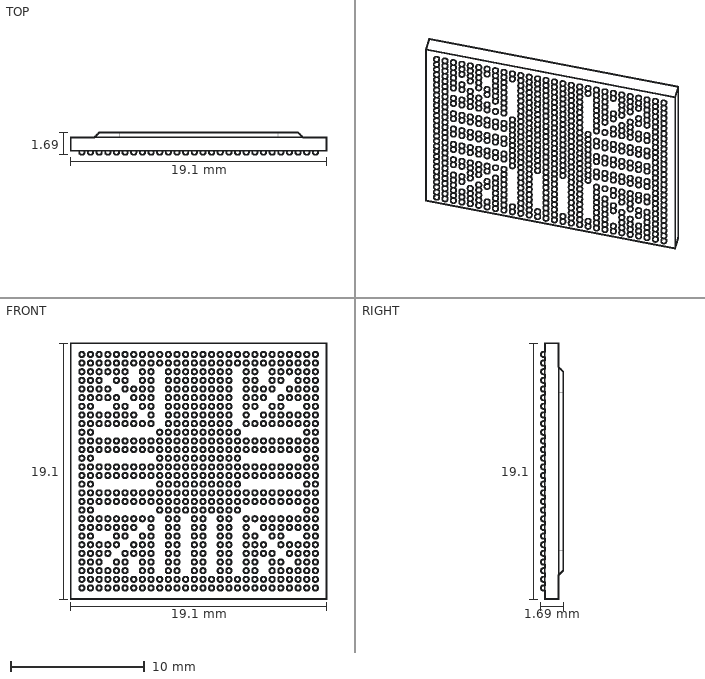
import cadquery as cq

SIDE = 19.15
TOTAL_DEPTH = 1.69
BALL_HEIGHT = 0.3
CAP_HEIGHT = 0.36
SUBSTRATE_THICKNESS = TOTAL_DEPTH - BALL_HEIGHT - CAP_HEIGHT

CAP_SIDE = 15.59
CAP_CORNER_RADIUS = 1.88
CAP_BEVEL_ANGLE = 45.0

BALL_GRID_SPAN = 17.46
BALL_DIAMETER = 0.42

LEFT_HALF_ROWS = [
    "##############",
    "##############",
    "######.##.####",
    "###.##.##.####",
    "####.####.####",
    "#####.###.####",
    "##..##.##.####",
    "#######.#.####",
    "#########.####",
    "##.......#####",
    "##############",
    "##############",
    "##.......#####",
    "##############",
    "##############",
    "##.......#####",
    "##############",
    "##############",
    "##.......#####",
    "#########.##.#",
    "#######.#.##.#",
    "##..##.##.##.#",
    "#####.###.##.#",
    "####.####.##.#",
    "###.##.##.##.#",
    "######.##.##.#",
    "##############",
    "##############",
]
BALL_PITCH = BALL_GRID_SPAN / (len(LEFT_HALF_ROWS) - 1)


def make_substrate():
    """Square board between its ball face and its cap face."""
    return cq.Workplane("XZ").rect(SIDE, SIDE).extrude(-SUBSTRATE_THICKNESS)


def make_cap():
    """Rounded square cap on the +Y face, its whole rim sloping inwards."""
    outline = cq.Sketch().rect(CAP_SIDE, CAP_SIDE).vertices().fillet(CAP_CORNER_RADIUS)
    return (
        cq.Workplane("XZ", origin=(0, SUBSTRATE_THICKNESS, 0))
        .placeSketch(outline)
        .extrude(-CAP_HEIGHT, taper=CAP_BEVEL_ANGLE)
    )


def ball_positions():
    """X, Z centres of the balls on a grid centred on the board."""
    positions = []
    for row, left_half in enumerate(LEFT_HALF_ROWS):
        full_row = left_half + left_half[::-1]
        for column, mark in enumerate(full_row):
            if mark == "#":
                x = column * BALL_PITCH - BALL_GRID_SPAN / 2
                z = BALL_GRID_SPAN / 2 - row * BALL_PITCH
                positions.append((x, z))
    return positions


def make_ball():
    """Ball cut flat where it meets the board, with its tip at Y = -BALL_HEIGHT."""
    radius = BALL_DIAMETER / 2
    sphere = cq.Workplane("XZ").sphere(radius).translate((0, radius - BALL_HEIGHT, 0))
    outside_board = cq.Workplane("XZ").rect(BALL_DIAMETER, BALL_DIAMETER).extrude(BALL_HEIGHT)
    return sphere.intersect(outside_board).val()


def make_ball_grid():
    """All the balls as one compound, so that they join the board in a single step."""
    ball = make_ball()
    balls = [ball.translate(cq.Vector(x, 0, z)) for x, z in ball_positions()]
    return cq.Compound.makeCompound(balls)


package = make_substrate().union(make_cap())
package_with_balls = package.val().fuse(make_ball_grid())
result = cq.Workplane(obj=package_with_balls).solids()